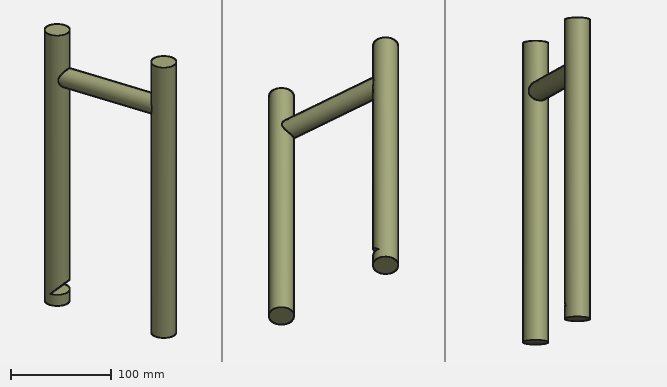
import cadquery as cq

post_diameter = 25.4
post_height = 304.8
overall_width = 152.4
bar_diameter = 20.32
bar_height = 254.0
notch_floor_height = 12.7
notch_rise = 12.7

post_radius = post_diameter / 2
post_spacing = overall_width - post_diameter


def make_post(x):
    """Upright round post standing on Z = 0, centred at the given X."""
    return cq.Workplane("XY").center(x, 0).circle(post_radius).extrude(post_height)


def make_crossbar():
    """Horizontal round bar running between the two post axes."""
    return (
        cq.Workplane("YZ")
        .center(0, bar_height)
        .circle(bar_diameter / 2)
        .extrude(post_spacing)
    )


def make_notch():
    """Wedge with a flat floor and a sloping roof, from the left post's axis to its inner side."""
    return (
        cq.Workplane("XZ")
        .moveTo(0, notch_floor_height)
        .lineTo(post_radius, notch_floor_height)
        .lineTo(post_radius, notch_floor_height + notch_rise)
        .close()
        .extrude(post_radius, both=True)
    )


left_post = make_post(0).cut(make_notch())
right_post = make_post(post_spacing)
result = left_post.union(right_post).union(make_crossbar())